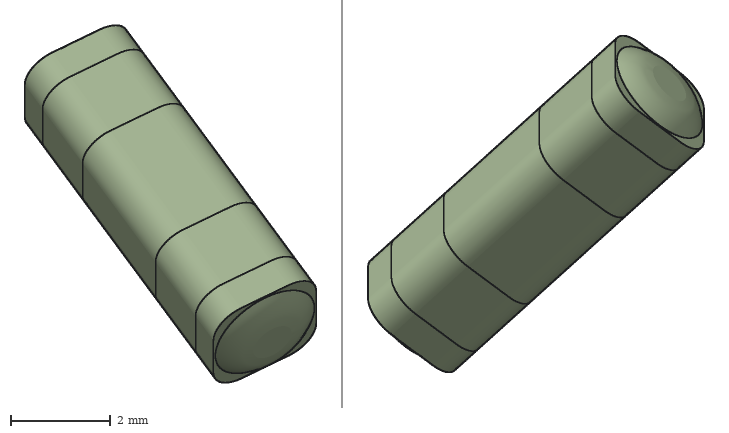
import cadquery as cq
import math

total_length = 8.0
bar_width = 2.41
corner_radius = 0.65

core_length = 2.86
sleeve_length = 1.57
dome_height = 0.3
collar_length = (total_length - core_length) / 2 - sleeve_length - dome_height

dome_base_radius = 1.16
dome_flat_radius = 0.45

core_end = core_length / 2
sleeve_end = core_end + sleeve_length
collar_end = sleeve_end + collar_length


def bar_segment(start_x, length):
    """Rounded square block running along +X from start_x."""
    return (
        cq.Workplane("YZ", origin=(start_x, 0, 0))
        .rect(bar_width, bar_width)
        .extrude(length)
        .edges("|X")
        .fillet(corner_radius)
    )


def end_dome(side):
    """Dome on the +X (side = 1) or -X (side = -1) end, its shoulder arc tangent to the flat tip."""
    shoulder_width = dome_base_radius - dome_flat_radius
    arc_radius = (shoulder_width**2 + dome_height**2) / (2 * dome_height)
    half_angle = math.asin(shoulder_width / arc_radius) / 2
    tip_x = total_length / 2
    arc_mid_x = tip_x - arc_radius * (1 - math.cos(half_angle))
    arc_mid_radius = dome_flat_radius + arc_radius * math.sin(half_angle)
    return (
        cq.Workplane("XY")
        .moveTo(side * collar_end, 0)
        .lineTo(side * tip_x, 0)
        .lineTo(side * tip_x, dome_flat_radius)
        .threePointArc((side * arc_mid_x, arc_mid_radius), (side * collar_end, dome_base_radius))
        .close()
        .revolve(360, (0, 0, 0), (1, 0, 0))
    )


core = bar_segment(-core_end, core_length)
sleeves = [bar_segment(start_x, sleeve_length) for start_x in (-sleeve_end, core_end)]
collars = [bar_segment(start_x, collar_length) for start_x in (-collar_end, sleeve_end)]
domes = [end_dome(side) for side in (-1, 1)]

bodies = [core, *sleeves, *collars, *domes]
result = cq.Compound.makeCompound([body.val() for body in bodies])